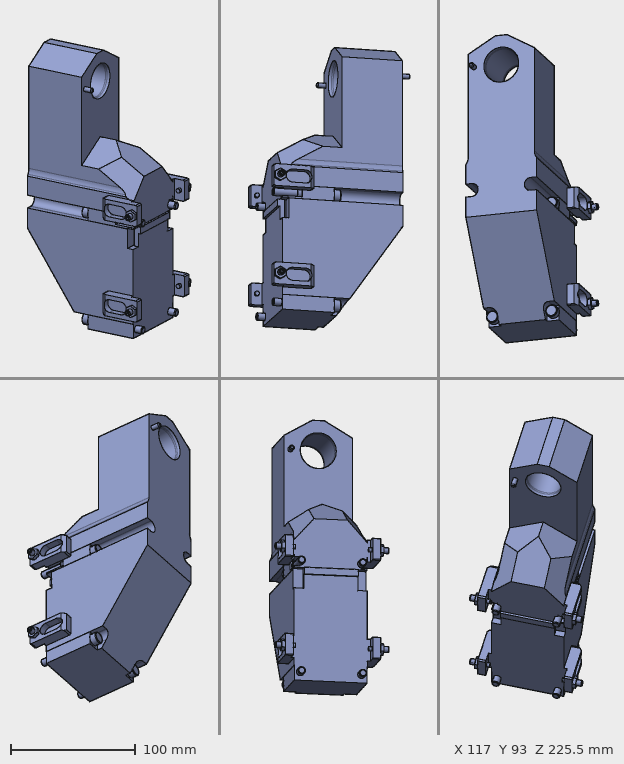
import cadquery as cq
import math

BODY_LENGTH = 100.1
ARM_LENGTH = 50.0
HEIGHT = 225.5
ARM_HALF_WIDTH = 28.0
BASE_HALF_WIDTH = 30.0
CROWN_HALF_WIDTH = 5.0
SLANT_ANGLE = math.radians(30)
ROOF_SLOPE = math.tan(SLANT_ANGLE)
WAIST_Z = 119.3
WAIST_RADIUS = 9.2
HEEL_Z = 75.0
TOE_X = 52.8

RIDGE_Z = 153.3
SLOPE_START_X = 65.2
SLOPE_HALF_WIDTH = 13.8
CORNER_SLOPE = 1.1

BORE_Z = 200.7
BORE_DIAMETER = 28.5
BORE_RIM_DIAMETER = 29.3
BORE_MOUTH_DIAMETER = 28.6
BORE_MOUTH_DEPTH = 2.5
BORE_TAPER_LENGTH = 1.4
PIN_DIAMETER = 4.0
PIN_REACH = 7.5
PIN_Y = 23.0
PIN_CHAMFER = 1.0
PIN_EMBED = 4.5

SCREW_Y = 25.0
LOWER_SCREW_Z = 6.8
UPPER_SCREW_Z = 97.6
SCREW_DIAMETER = 6.0
SCREW_TIP_X = 106.9
SCREW_TIP_CHAMFER = 0.7
HEAD_DIAMETER = 10.0
HEAD_CHAMFER = 0.7
HEAD_LENGTH = 5.9
HEAD_SEAT_X = 57.0
CHANNEL_WIDTH = 10.8
STEP_DEPTH = 0.2
WINDOW_START_X = 83.5
COLLAR_LENGTH = 3.5
COLLAR_DIAMETER = 7.5

KEY_SLOT_DEPTH = 5.5
KEY_BOTTOM_Z = 75.8
KEY_TOP_Z = 92.7
KEY_HALF_LENGTH = 22.0
KEY_END_CHAMFER = 1.8
TONGUE_HEIGHT = 5.6
TONGUE_REACH = 2.0

CLAMP_LOWER_Z = 27.3
CLAMP_UPPER_Z = 108.5
CLAMP_START_X = 75.5
CLAMP_END_X = 109.5
CLAMP_HEIGHT = 18.0
CLAMP_THICKNESS = 9.0
CLAMP_OUTER_Y = BASE_HALF_WIDTH + CLAMP_THICKNESS
CLAMP_RELIEF = 2.5
CLAMP_BEVEL_LENGTH = 3.4
CLAMP_BEVEL_DEPTH = 3.0
CLAMP_CORNER_LENGTH = 1.5
CLAMP_CORNER_HEIGHT = 0.7
SLOT_START_X = 78.0
SLOT_END_X = 99.5
SLOT_WIDTH = 10.8
SLOT_DEPTH = 6.0
SET_SCREW_X = 104.9
SET_SCREW_DIAMETER = 5.0
SET_SCREW_OUTER_Y = 46.5
SET_SCREW_CHAMFER = 0.7
DOG_POINT_DIAMETER = 3.5
SOCKET_FLATS = 2.5
SOCKET_DEPTH = 2.7
NUT_FLATS = 8.5
NUT_THICKNESS = 2.7


def box(x_range, y_range, z_range):
    """Box between two limits on each axis."""
    lows, highs = zip(x_range, y_range, z_range)
    sizes = [high - low for low, high in zip(lows, highs)]
    return cq.Workplane("XY").box(*sizes, centered=False).translate(lows)


def x_cylinder(diameter, x_start, x_end, y, z):
    """Cylinder along X between two X positions."""
    plane = cq.Workplane("YZ", origin=(x_start, y, z))
    return plane.circle(diameter / 2).extrude(x_end - x_start)


def y_solid(outline, y_start, y_end):
    """Extrude an XZ outline from y_start to y_end."""
    return outline.extrude(y_start - y_end).translate((0, y_start, 0))


def mirrored(half):
    """Add the mirror image across the XZ plane."""
    return half.union(half.mirror("XZ"))


def cross_section(roof):
    """Half outline on the +Y side: wide base, concave waist, then the roof points from eave to middle."""
    def waist_y(turn):
        return ARM_HALF_WIDTH + WAIST_RADIUS * (1 - math.cos(turn))

    slant_top_z = WAIST_Z + (BASE_HALF_WIDTH - waist_y(SLANT_ANGLE)) / ROOF_SLOPE
    arc_top_z = slant_top_z + WAIST_RADIUS * math.sin(SLANT_ANGLE)
    arc_middle = (waist_y(SLANT_ANGLE / 2), arc_top_z - WAIST_RADIUS * math.sin(SLANT_ANGLE / 2))
    outline = (
        cq.Workplane("YZ")
        .moveTo(0, 0)
        .lineTo(BASE_HALF_WIDTH, 0)
        .lineTo(BASE_HALF_WIDTH, WAIST_Z)
        .lineTo(waist_y(SLANT_ANGLE), slant_top_z)
        .threePointArc(arc_middle, (ARM_HALF_WIDTH, arc_top_z))
    )
    for point in roof:
        outline = outline.lineTo(*point)
    return outline.close()


def make_arm():
    """Tall front part with the flat-topped roof."""
    eave_z = HEIGHT - (ARM_HALF_WIDTH - CROWN_HALF_WIDTH) * ROOF_SLOPE
    roof = [(ARM_HALF_WIDTH, eave_z), (CROWN_HALF_WIDTH, HEIGHT), (0, HEIGHT)]
    return mirrored(cross_section(roof).extrude(ARM_LENGTH))


def make_shoulder():
    """Full-length lower part with a ridged roof and a faceted sloping back."""
    roof = [(ARM_HALF_WIDTH, RIDGE_Z - ARM_HALF_WIDTH * ROOF_SLOPE), (0, RIDGE_Z)]
    half = cross_section(roof).extrude(BODY_LENGTH)
    facet_drop = (BASE_HALF_WIDTH - SLOPE_HALF_WIDTH) * CORNER_SLOPE
    slope_section = (
        cq.Workplane("YZ", origin=(SLOPE_START_X, 0, RIDGE_Z))
        .polyline([
            (0, 0),
            (SLOPE_HALF_WIDTH, 0),
            (BASE_HALF_WIDTH, -facet_drop),
            (BASE_HALF_WIDTH, RIDGE_Z),
            (0, RIDGE_Z),
        ])
        .close()
        .wires()
        .val()
    )
    run = 2 * (BODY_LENGTH - SLOPE_START_X)
    sweep = cq.Vector(run, 0, -run * ROOF_SLOPE)
    for direction in (sweep, sweep * -1):
        half = half.cut(cq.Workplane(cq.Solid.extrudeLinear(slope_section, [], direction)))
    return mirrored(half)


def make_body():
    """Arm and shoulder with the heel cut away underneath."""
    heel = cq.Workplane("XZ").polyline([(0, HEEL_Z), (TOE_X, 0), (0, 0)]).close()
    heel_cut = y_solid(heel, -BASE_HALF_WIDTH, BASE_HALF_WIDTH)
    return make_arm().union(make_shoulder()).cut(heel_cut)


def make_bore():
    """Through bore whose two mouths flare outward to a wider rim."""
    radius = BORE_DIAMETER / 2
    mouth = BORE_MOUTH_DIAMETER / 2
    rim = BORE_RIM_DIAMETER / 2
    taper_end = BORE_MOUTH_DEPTH + BORE_TAPER_LENGTH
    profile = [
        (0, 0),
        (0, rim),
        (BORE_MOUTH_DEPTH, mouth),
        (taper_end, radius),
        (ARM_LENGTH - taper_end, radius),
        (ARM_LENGTH - BORE_MOUTH_DEPTH, mouth),
        (ARM_LENGTH, rim),
        (ARM_LENGTH, 0),
    ]
    turned = cq.Workplane("XY").polyline(profile).close().revolve(360, (0, 0), (1, 0))
    return turned.translate((0, 0, BORE_Z))


def make_pins():
    """Front pin on the +Y side and rear pin on the -Y side."""
    front = x_cylinder(PIN_DIAMETER, -PIN_REACH, PIN_EMBED, PIN_Y, BORE_Z)
    front = front.faces("<X").chamfer(PIN_CHAMFER)
    rear = x_cylinder(PIN_DIAMETER, ARM_LENGTH - PIN_EMBED, ARM_LENGTH + PIN_REACH, -PIN_Y, BORE_Z)
    return front.union(rear.faces(">X").chamfer(PIN_CHAMFER))


def make_screw(z):
    """Cap screw on the +Y side."""
    head = x_cylinder(HEAD_DIAMETER, HEAD_SEAT_X - HEAD_LENGTH, HEAD_SEAT_X, SCREW_Y, z)
    shank = x_cylinder(SCREW_DIAMETER, HEAD_SEAT_X, SCREW_TIP_X, SCREW_Y, z)
    return head.faces("<X").chamfer(HEAD_CHAMFER).union(shank.faces(">X").chamfer(SCREW_TIP_CHAMFER))


def make_head_channel(z, bottom_z):
    """Clearance for a screw head on the +Y side, open to the side, with a shallow step behind it."""
    top_z = z + CHANNEL_WIDTH / 2
    rounded = x_cylinder(CHANNEL_WIDTH, 0, HEAD_SEAT_X, SCREW_Y, z)
    side = box((0, HEAD_SEAT_X), (SCREW_Y, BASE_HALF_WIDTH), (bottom_z, top_z))
    step = box((0, BODY_LENGTH), (BASE_HALF_WIDTH - STEP_DEPTH, BASE_HALF_WIDTH), (bottom_z, top_z))
    return rounded.union(side).union(step)


def make_lower_channel():
    """Lower head channel, opened through the underside."""
    inner_y = SCREW_Y - CHANNEL_WIDTH / 2
    underside = box((0, HEAD_SEAT_X), (inner_y, BASE_HALF_WIDTH), (0, LOWER_SCREW_Z))
    return make_head_channel(LOWER_SCREW_Z, 0).union(underside)


def make_screw_window():
    """Side opening that bares the end of the upper shank on the +Y side."""
    half_height = COLLAR_DIAMETER / 2
    z_range = (UPPER_SCREW_Z - half_height, UPPER_SCREW_Z + half_height)
    return box((WINDOW_START_X, BODY_LENGTH), (SCREW_Y, BASE_HALF_WIDTH), z_range)


def make_collar():
    """Collar on the upper shank at the start of the window."""
    return x_cylinder(COLLAR_DIAMETER, WINDOW_START_X, WINDOW_START_X + COLLAR_LENGTH, SCREW_Y, UPPER_SCREW_Z)


def make_key_slot():
    """Slot across the back face."""
    x_range = (BODY_LENGTH - KEY_SLOT_DEPTH, BODY_LENGTH)
    return box(x_range, (-BASE_HALF_WIDTH, BASE_HALF_WIDTH), (KEY_BOTTOM_Z, KEY_TOP_Z))


def make_key():
    """Key in the slot with bevelled ends and a tongue along its top."""
    y_range = (-KEY_HALF_LENGTH, KEY_HALF_LENGTH)
    bar = box((BODY_LENGTH - KEY_SLOT_DEPTH, BODY_LENGTH), y_range, (KEY_BOTTOM_Z, KEY_TOP_Z))
    bar = bar.edges("|Z and <X").chamfer(KEY_END_CHAMFER)
    tongue = box((BODY_LENGTH, BODY_LENGTH + TONGUE_REACH), y_range, (KEY_TOP_Z - TONGUE_HEIGHT, KEY_TOP_Z))
    return bar.union(tongue)


def make_set_screw(z):
    """Set screw with lock nut and dog point, along Y on the +Y side."""
    def along_y(shape, y_start, y_end):
        return y_solid(shape, y_start, y_end).translate((SET_SCREW_X, 0, z))

    def hexagon(flats):
        half_sector = 360 / 12
        across_corners = flats / math.cos(math.radians(half_sector))
        return cq.Workplane("XZ").transformed(rotate=(0, 0, half_sector)).polygon(6, across_corners)

    def disc(diameter):
        return cq.Workplane("XZ").circle(diameter / 2)

    relief_y = BASE_HALF_WIDTH + CLAMP_RELIEF
    stud = along_y(disc(SET_SCREW_DIAMETER), relief_y, SET_SCREW_OUTER_Y).faces(">Y").chamfer(SET_SCREW_CHAMFER)
    nut = along_y(hexagon(NUT_FLATS), CLAMP_OUTER_Y, CLAMP_OUTER_Y + NUT_THICKNESS)
    socket = along_y(hexagon(SOCKET_FLATS), SET_SCREW_OUTER_Y - SOCKET_DEPTH, SET_SCREW_OUTER_Y)
    dog_point = along_y(disc(DOG_POINT_DIAMETER), BASE_HALF_WIDTH, relief_y)
    return stud.union(nut).union(dog_point).cut(socket)


def clamp_outline(z):
    """Rectangle in XZ with its four corners cut off."""
    mid_x = (CLAMP_START_X + CLAMP_END_X) / 2
    half_length = (CLAMP_END_X - CLAMP_START_X) / 2
    half_height = CLAMP_HEIGHT / 2
    flat_x = half_length - CLAMP_CORNER_LENGTH
    flat_z = half_height - CLAMP_CORNER_HEIGHT
    corners = [
        (-half_length, -flat_z),
        (-flat_x, -half_height),
        (flat_x, -half_height),
        (half_length, -flat_z),
        (half_length, flat_z),
        (flat_x, half_height),
        (-flat_x, half_height),
        (-half_length, flat_z),
    ]
    return cq.Workplane("XZ").center(mid_x, z).polyline(corners).close()


def make_clamp(z):
    """Slotted side clamp on the +Y side, overhanging the back face."""
    z_range = (z - CLAMP_HEIGHT / 2, z + CLAMP_HEIGHT / 2)
    plate = y_solid(clamp_outline(z), BASE_HALF_WIDTH, CLAMP_OUTER_Y)
    bevel = (
        cq.Workplane("XY", origin=(CLAMP_START_X, CLAMP_OUTER_Y, z_range[0]))
        .polyline([(0, 0), (CLAMP_BEVEL_LENGTH, 0), (0, -CLAMP_BEVEL_DEPTH)])
        .close()
        .extrude(CLAMP_HEIGHT)
    )
    relief_y = (BASE_HALF_WIDTH, BASE_HALF_WIDTH + CLAMP_RELIEF)
    relief = box((BODY_LENGTH, CLAMP_END_X), relief_y, z_range)
    slot_center = (SLOT_START_X + SLOT_END_X) / 2
    slot_outline = cq.Workplane("XZ").center(slot_center, z).slot2D(SLOT_END_X - SLOT_START_X, SLOT_WIDTH)
    slot = y_solid(slot_outline, CLAMP_OUTER_Y - SLOT_DEPTH, CLAMP_OUTER_Y)
    return plate.cut(bevel).cut(relief).cut(slot).union(make_set_screw(z))


upper_channel = make_head_channel(UPPER_SCREW_Z, UPPER_SCREW_Z - CHANNEL_WIDTH / 2)
side_cuts = upper_channel.union(make_lower_channel()).union(make_screw_window())
result = make_body().cut(make_bore()).cut(mirrored(side_cuts)).cut(make_key_slot())
result = result.union(make_key()).union(make_pins())

for screw_z in (LOWER_SCREW_Z, UPPER_SCREW_Z):
    result = result.union(mirrored(make_screw(screw_z)))
result = result.union(mirrored(make_collar()))

for clamp_z in (CLAMP_LOWER_Z, CLAMP_UPPER_Z):
    result = result.union(mirrored(make_clamp(clamp_z)))